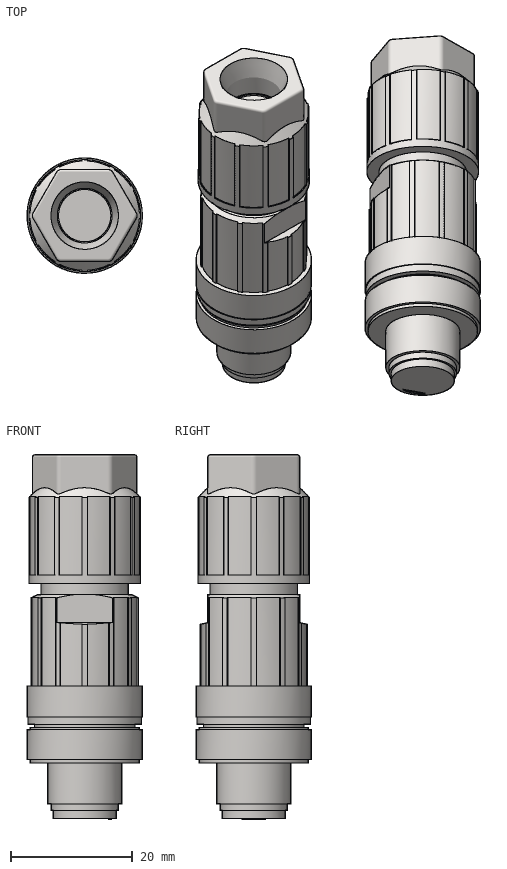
import cadquery as cq
import math

key_bottom_z = 0.0
carrier_bottom_z = 0.15
carrier_shoulder_z = 1.5
undercut_top_z = 2.6
coupling_bottom_z = 9.3
coupling_top_z = 15.15
spigot_bottom_z = coupling_top_z
collar_bottom_z = 15.65
collar_step_z = 16.9
collar_top_z = 22.0
flat_bottom_z = 32.4
grip_top_z = 37.0
cap_bottom_z = 38.8
cap_pocket_bottom_z = 40.2
cap_cone_z = 52.95
cap_top_z = 60.0

cap_radius = 9.2
hex_across_flats = 15.15
hex_corner_radius = 0.95
hex_top_fillet = 0.45
mouth_radius = 5.55
throat_radius = 4.5
lip_radius = 4.3
lip_height = 0.3
mouth_depth = 3.3
seal_depth = 6.9

rib_width = 0.87
rib_pitch = 30
cap_rib_angles = range(0, 180, rib_pitch)
grip_side_rib_angle = 32.5
grip_front_rib_angle = 60
grip_rib_angles = (
    0,
    grip_side_rib_angle,
    grip_front_rib_angle,
    90,
    180 - grip_front_rib_angle,
    180 - grip_side_rib_angle,
)
pocket_cut_margin = 1.0
cap_pocket_radius = 9.0
grip_pocket_radius = 8.65

neck_radius = 7.2
grip_radius = 8.85
grip_top_radius = 7.75
grip_chamfer_height = 0.55
wrench_across_flats = hex_across_flats
ledge_drop = 0.3
spigot_radius = 8.3

ring_radius = 9.5
collar_lower_radius = 9.35
coupling_end_radius = 9.0
coupling_top_step = 0.35
coupling_bottom_step = 0.55

sleeve_radius = 6.1
undercut_radius = 5.55
carrier_radius = 5.2
key_radius = 4.4
key_chord_x = 3.95

seal_top_z = cap_top_z - seal_depth
seal_radius = 4.9
seal_height = 6.0
neck_top_z = seal_top_z - seal_height


def cylinder(radius, bottom_z, top_z):
    return cq.Workplane("XY").workplane(offset=bottom_z).circle(radius).extrude(top_z - bottom_z)


def cone(bottom_radius, top_radius, bottom_z, top_z):
    profile = [(0, bottom_z), (bottom_radius, bottom_z), (top_radius, top_z), (0, top_z)]
    return cq.Workplane("XZ").polyline(profile).close().revolve(360, (0, 0, 0), (0, 1, 0))


def grip_pockets(rib_angles, crest_radius, floor_radius, bottom_z, top_z):
    """Ring of shallow pockets that leaves narrow straight ribs standing between them."""
    outer_radius = crest_radius + pocket_cut_margin
    pockets = cylinder(outer_radius, bottom_z, top_z).cut(cylinder(floor_radius, bottom_z, top_z))
    height = top_z - bottom_z
    rib_length = 2 * crest_radius + 4 * pocket_cut_margin
    for angle in rib_angles:
        rib = (
            cq.Workplane("XY")
            .workplane(offset=bottom_z)
            .rect(rib_length, rib_width)
            .extrude(height)
            .rotate((0, 0, 0), (0, 0, 1), angle)
        )
        pockets = pockets.cut(rib)
    return pockets


def make_cap_nut():
    shoulder_top_z = cap_cone_z + cap_radius - hex_across_flats / 2 + hex_top_fillet
    shoulder_top_radius = cap_radius - (shoulder_top_z - cap_cone_z)
    skirt = cylinder(cap_radius, cap_bottom_z, cap_cone_z)
    skirt = skirt.union(cone(cap_radius, shoulder_top_radius, cap_cone_z, shoulder_top_z))
    pockets = grip_pockets(
        cap_rib_angles, cap_radius, cap_pocket_radius, cap_pocket_bottom_z, shoulder_top_z
    )
    skirt = skirt.cut(pockets)
    hexagon = (
        cq.Workplane("XY")
        .workplane(offset=cap_cone_z)
        .polygon(6, hex_across_flats / math.cos(math.pi / 6))
        .extrude(cap_top_z - cap_cone_z)
        .edges("|Z")
        .fillet(hex_corner_radius)
        .faces(">Z")
        .edges()
        .fillet(hex_top_fillet)
    )
    mouth_bottom_z = cap_top_z - mouth_depth
    lip_top_z = seal_top_z + lip_height
    cap = skirt.union(hexagon)
    cap = cap.cut(cone(throat_radius, mouth_radius, mouth_bottom_z, cap_top_z))
    cap = cap.cut(cylinder(throat_radius, lip_top_z, mouth_bottom_z))
    cap = cap.cut(cylinder(lip_radius, seal_top_z, lip_top_z))
    cap = cap.cut(cylinder(seal_radius, neck_top_z, seal_top_z))
    return cap.cut(cylinder(neck_radius, cap_bottom_z, neck_top_z))


def make_cable_seal():
    return cylinder(seal_radius, neck_top_z, seal_top_z)


def wrench_flat_cut():
    """Material removed above one wrench flat, on a ledge that slopes down outwards (-Y side)."""
    flat_y = -wrench_across_flats / 2
    outer_y = -grip_radius
    profile = [
        (flat_y, grip_top_z),
        (flat_y, flat_bottom_z),
        (outer_y, flat_bottom_z - ledge_drop),
        (outer_y, grip_top_z),
    ]
    return cq.Workplane("YZ").polyline(profile).close().extrude(grip_radius, both=True)


def make_housing():
    chamfer_z = grip_top_z - grip_chamfer_height
    grip = cylinder(grip_radius, collar_top_z, chamfer_z)
    grip = grip.union(cone(grip_radius, grip_top_radius, chamfer_z, grip_top_z))
    pockets = grip_pockets(
        grip_rib_angles, grip_radius, grip_pocket_radius, collar_top_z, grip_top_z
    )
    grip = grip.cut(pockets)
    for angle in (0, 180):
        grip = grip.cut(wrench_flat_cut().rotate((0, 0, 0), (0, 0, 1), angle))
    neck = cylinder(neck_radius, grip_top_z, neck_top_z)
    spigot = cylinder(spigot_radius, spigot_bottom_z, collar_top_z)
    return grip.union(neck).union(spigot)


def make_collar():
    collar = cylinder(ring_radius, collar_step_z, collar_top_z)
    collar = collar.union(cylinder(collar_lower_radius, collar_bottom_z, collar_step_z))
    return collar.cut(cylinder(spigot_radius, collar_bottom_z, collar_top_z))


def make_coupling_ring():
    ring = cylinder(coupling_end_radius, coupling_bottom_z, coupling_top_z)
    band_bottom_z = coupling_bottom_z + coupling_bottom_step
    band_top_z = coupling_top_z - coupling_top_step
    ring = ring.union(cylinder(ring_radius, band_bottom_z, band_top_z))
    return ring.cut(cylinder(sleeve_radius, coupling_bottom_z, coupling_top_z))


def make_plug_sleeve():
    sleeve = cylinder(sleeve_radius, undercut_top_z, coupling_top_z)
    return sleeve.union(cylinder(undercut_radius, carrier_shoulder_z, undercut_top_z))


def make_contact_carrier():
    """Plug tip with a shallow coding key standing proud of its end face on the +X side."""
    carrier = cylinder(carrier_radius, carrier_bottom_z, carrier_shoulder_z)
    key = cylinder(key_radius, key_bottom_z, carrier_bottom_z)
    beside_key = (
        cq.Workplane("XY")
        .workplane(offset=key_bottom_z)
        .center(key_chord_x - key_radius, 0)
        .rect(2 * key_radius, 2 * key_radius)
        .extrude(carrier_bottom_z - key_bottom_z)
    )
    return carrier.union(key.cut(beside_key))


cap_nut = make_cap_nut()
cable_seal = make_cable_seal()
housing = make_housing()
collar = make_collar()
coupling_ring = make_coupling_ring()
plug_sleeve = make_plug_sleeve()
contact_carrier = make_contact_carrier()

result = cq.Compound.makeCompound([
    cap_nut.val(),
    cable_seal.val(),
    housing.val(),
    collar.val(),
    coupling_ring.val(),
    plug_sleeve.val(),
    contact_carrier.val(),
])